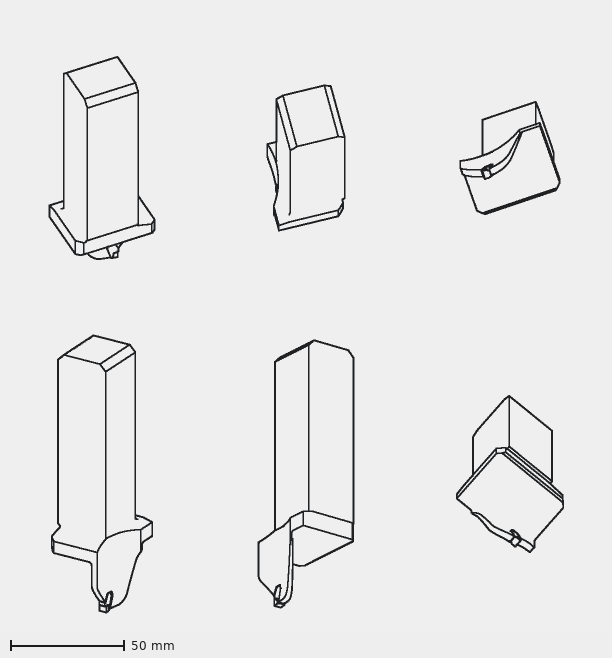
import cadquery as cq
import math

SHANK = 24.9
TOTAL_HEIGHT = 119.6
TOP_CHAMFER_RUN = 3.0
TOP_CHAMFER_DROP = 3.0

HEAD_LEFT = -6.2
HEAD_RIGHT = 23.8
HEAD_FRONT = -16.5
HEAD_BACK = 22.2
HEAD_BOTTOM = 27.5
HEAD_TOP = 35.5
CORNER_CHAMFER = 2.9
BOTTOM_CHAMFER = 1.1
ROOT_FILLET = 1.0
SLOPE_ANGLE = 15.0
SLOPE_START_X = -1.4
SLOPE_START_Y = SHANK / 2 + 1.2
OVERHANG_BOTTOM = 36.2

CURVE_Y = 12.4
INNER_RADIUS = 34.7
INNER_APEX = -0.2
OUTER_RADIUS = 27.0
OUTER_APEX = 3.1
BLADE_FILLET = 1.2
BLADE_BOTTOM = 0.7
BLADE_FRONT = -9.6

INSERT_FACE = 0.1
INSERT_REAR = 3.1
TIP_FACE = -0.4
TIP_REAR = 3.3
EDGE_Y = 12.9
TIP_OUTER_Y = 12.4
TIP_INNER_Y = 10.5
TIP_HEIGHT = 3.0
TIP_RELIEF = 0.4
TIP_SIDE_TAPER = 0.5

CUT_MARGIN = 6.0
SLOPE = math.tan(math.radians(SLOPE_ANGLE))


def box(x0, x1, y0, y1, z0, z1):
    return cq.Workplane("XY").box(x1 - x0, y1 - y0, z1 - z0, centered=False).translate((x0, y0, z0))


def side_profile(outline, x0, x1):
    """Extrude a closed (Y, Z) outline between two X positions."""
    return outline.close().extrude(x1 - x0).translate((x0, 0, 0))


def vertical_cylinder(apex, radius):
    """Full-height cylinder whose extreme +X line is at the apex."""
    return cq.Workplane("XY").center(apex - radius, CURVE_Y).circle(radius).extrude(TOTAL_HEIGHT)


def make_shank_and_head():
    long_end = SHANK + CUT_MARGIN
    head = box(HEAD_LEFT, long_end, HEAD_FRONT, HEAD_BACK, HEAD_BOTTOM, HEAD_TOP)
    shank = box(0, long_end, -SHANK / 2, SHANK / 2, HEAD_BOTTOM, TOTAL_HEIGHT)
    root_edges = cq.selectors.BoxSelector(
        (-ROOT_FILLET, -SHANK / 2 - ROOT_FILLET, HEAD_TOP - ROOT_FILLET),
        (long_end, SHANK / 2 + ROOT_FILLET, HEAD_TOP + ROOT_FILLET),
    )
    body = head.union(shank).edges(root_edges).fillet(ROOT_FILLET)

    slope_drop = (SLOPE_START_X - HEAD_LEFT) * SLOPE
    side = (
        cq.Workplane("XZ")
        .moveTo(HEAD_LEFT, HEAD_BOTTOM)
        .lineTo(HEAD_RIGHT - BOTTOM_CHAMFER, HEAD_BOTTOM)
        .lineTo(HEAD_RIGHT, HEAD_BOTTOM + BOTTOM_CHAMFER)
        .lineTo(HEAD_RIGHT, OVERHANG_BOTTOM)
        .lineTo(SHANK, OVERHANG_BOTTOM + SHANK - HEAD_RIGHT)
        .lineTo(SHANK, TOTAL_HEIGHT - TOP_CHAMFER_DROP)
        .lineTo(SHANK - TOP_CHAMFER_RUN, TOTAL_HEIGHT)
        .lineTo(TOP_CHAMFER_RUN, TOTAL_HEIGHT)
        .lineTo(0, TOTAL_HEIGHT - TOP_CHAMFER_DROP)
        .lineTo(0, HEAD_TOP + ROOT_FILLET)
        .lineTo(SLOPE_START_X, HEAD_TOP + ROOT_FILLET)
        .lineTo(SLOPE_START_X, HEAD_TOP)
        .lineTo(HEAD_LEFT, HEAD_TOP - slope_drop)
        .close()
        .extrude(HEAD_BACK - HEAD_FRONT)
        .translate((0, HEAD_BACK, 0))
    )
    body = body.intersect(side)

    back_run = HEAD_BACK - SLOPE_START_Y
    back_slope = (
        cq.Workplane("YZ")
        .moveTo(SLOPE_START_Y, HEAD_TOP)
        .lineTo(HEAD_BACK, HEAD_TOP)
        .lineTo(HEAD_BACK, HEAD_TOP - back_run * SLOPE)
    )
    body = body.cut(side_profile(back_slope, HEAD_LEFT, long_end))

    for corner_y, inward in ((HEAD_FRONT, 1), (HEAD_BACK, -1)):
        corner = (
            cq.Workplane("XY")
            .moveTo(HEAD_RIGHT, corner_y)
            .lineTo(HEAD_RIGHT - CORNER_CHAMFER, corner_y)
            .lineTo(HEAD_RIGHT, corner_y + inward * CORNER_CHAMFER)
            .close()
            .extrude(TOTAL_HEIGHT)
        )
        body = body.cut(corner)
    return body


def blade_outline():
    return (
        cq.Workplane("YZ")
        .moveTo(HEAD_BACK, HEAD_BOTTOM + ROOT_FILLET)
        .lineTo(HEAD_BACK, 17.7)
        .threePointArc((21.9, 15.8), (21.0, 14.4))
        .lineTo(EDGE_Y, 5.1)
        .lineTo(EDGE_Y, BLADE_BOTTOM)
        .lineTo(3.7, BLADE_BOTTOM)
        .threePointArc((0.5, 2.6), (-1.1, 5.9))
        .lineTo(-4.8, 18.9)
        .threePointArc((-5.6, 21.3), (-6.7, 23.1))
        .lineTo(BLADE_FRONT, 25.7)
        .lineTo(BLADE_FRONT, HEAD_BOTTOM + ROOT_FILLET)
    )


def make_blade():
    """Curved blade hanging below the head, with a fillet along its outer root."""
    column = vertical_cylinder(OUTER_APEX, OUTER_RADIUS)
    column = column.intersect(box(HEAD_LEFT, SHANK, HEAD_FRONT, HEAD_BACK, 0, HEAD_BOTTOM))
    flare_radius = OUTER_RADIUS + BLADE_FILLET
    axis_x = OUTER_APEX - OUTER_RADIUS
    flare = (
        cq.Workplane("XZ")
        .moveTo(0, HEAD_BOTTOM)
        .lineTo(flare_radius, HEAD_BOTTOM)
        .radiusArc((OUTER_RADIUS, HEAD_BOTTOM - BLADE_FILLET), -BLADE_FILLET)
        .lineTo(0, HEAD_BOTTOM - BLADE_FILLET)
        .close()
        .revolve(360, (0, 0, 0), (0, 1, 0))
        .translate((axis_x, CURVE_Y, 0))
    )
    flare = flare.intersect(box(HEAD_LEFT, SHANK, HEAD_FRONT, HEAD_BACK, 0, HEAD_BOTTOM))
    return column.union(flare).intersect(side_profile(blade_outline(), HEAD_LEFT, SHANK))


def make_seat():
    """Tapered through opening for the insert, open at the bottom and toward +Y."""
    outline = (
        cq.Workplane("YZ")
        .moveTo(11.0, 8.6)
        .lineTo(8.1, 8.6)
        .lineTo(7.4, 6.7)
        .lineTo(9.3, TIP_RELIEF)
        .lineTo(EDGE_Y, TIP_RELIEF)
        .lineTo(EDGE_Y, 4.8)
    )
    return side_profile(outline, HEAD_LEFT, SHANK)


def make_insert(seat):
    """Flat insert filling the seat, with a raised square cutting tip at its lower end."""
    plate = seat.intersect(box(INSERT_FACE, INSERT_REAR, HEAD_FRONT, HEAD_BACK, 0, HEAD_BOTTOM))
    plate = plate.cut(box(HEAD_LEFT, SHANK, TIP_INNER_Y, HEAD_BACK, 0, TIP_HEIGHT))
    tip = (
        cq.Workplane("YZ")
        .moveTo(TIP_INNER_Y, TIP_HEIGHT)
        .lineTo(TIP_OUTER_Y, TIP_HEIGHT)
        .lineTo(TIP_OUTER_Y, 0)
        .lineTo(TIP_INNER_Y - TIP_SIDE_TAPER, TIP_RELIEF)
    )
    return plate.union(side_profile(tip, TIP_FACE, TIP_REAR))


seat = make_seat()
insert = make_insert(seat)
holder = make_shank_and_head().union(make_blade())
holder = holder.cut(vertical_cylinder(INNER_APEX, INNER_RADIUS)).cut(seat)

result = cq.Compound.makeCompound([holder.val(), insert.val()])